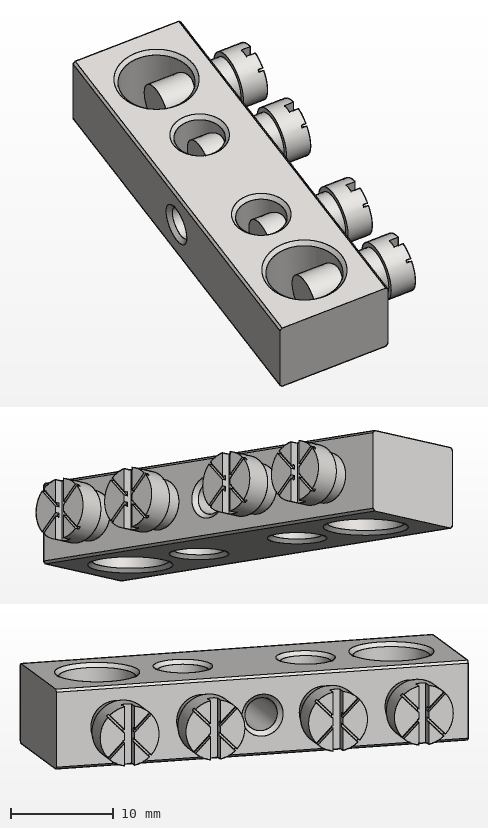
import cadquery as cq

BLOCK_LENGTH = 42.0
BLOCK_DEPTH = 12.0
BLOCK_HEIGHT = 8.0
EDGE_CHAMFER = 0.25

OUTER_BORE_X = 15.0
OUTER_BORE_DIAMETER = 7.5
INNER_BORE_X = 6.25
INNER_BORE_DIAMETER = 5.0
BORE_CHAMFER = 0.4

MOUNT_HOLE_DIAMETER = 3.3
MOUNT_HOLE_CHAMFER = 0.45

SHANK_DIAMETER = 5.0
SHANK_GAP = 2.0
SHANK_INSERTION = BLOCK_DEPTH / 2
SHANK_LENGTH = SHANK_INSERTION + SHANK_GAP
HEAD_DIAMETER = 6.0
HEAD_LENGTH = 2.7
SLOT_WIDTH = 1.0
SLOT_DEPTH = 1.0
MARK_WIDTH = 0.25
MARK_DEPTH = 0.5
MARK_ANGLES = (45, -45)

BACK_Y = BLOCK_DEPTH / 2
SCREW_TIP_Y = BACK_Y - SHANK_INSERTION
WIRE_BORES = (
    (-OUTER_BORE_X, OUTER_BORE_DIAMETER),
    (-INNER_BORE_X, INNER_BORE_DIAMETER),
    (INNER_BORE_X, INNER_BORE_DIAMETER),
    (OUTER_BORE_X, OUTER_BORE_DIAMETER),
)


def make_chamfered_bore(diameter, length, chamfer):
    """Cutter along Z, centred on the origin, with a countersink at both ends."""
    radius = diameter / 2
    mouth_radius = radius + chamfer
    half_length = length / 2
    profile = [
        (0, -half_length),
        (mouth_radius, -half_length),
        (radius, -half_length + chamfer),
        (radius, half_length - chamfer),
        (mouth_radius, half_length),
        (0, half_length),
    ]
    return cq.Workplane("XZ").polyline(profile).close().revolve(360, (0, 0), (0, 1))


def along_y(shape, x, y):
    """Turn a shape built along +Z to point along +Y and move it to (x, y, 0)."""
    return shape.rotate((0, 0, 0), (1, 0, 0), -90).translate((x, y, 0))


def make_block():
    block = cq.Workplane("XY").box(BLOCK_LENGTH, BLOCK_DEPTH, BLOCK_HEIGHT)
    block = block.edges("|X").chamfer(EDGE_CHAMFER)

    for x, diameter in WIRE_BORES:
        bore = make_chamfered_bore(diameter, BLOCK_HEIGHT, BORE_CHAMFER)
        block = block.cut(bore.translate((x, 0, 0)))

    mount_hole = make_chamfered_bore(MOUNT_HOLE_DIAMETER, BLOCK_DEPTH, MOUNT_HOLE_CHAMFER)
    block = block.cut(along_y(mount_hole, 0, 0))

    screw_hole = cq.Workplane("XY").circle(SHANK_DIAMETER / 2).extrude(SHANK_INSERTION)
    for x, _ in WIRE_BORES:
        block = block.cut(along_y(screw_hole, x, SCREW_TIP_Y))
    return block


def make_head_groove(width, depth):
    """Cutter for a straight groove right across the head face, parallel to Y."""
    head_top = SHANK_LENGTH + HEAD_LENGTH
    groove = cq.Workplane("XY").workplane(offset=head_top - depth)
    return groove.rect(width, 2 * HEAD_DIAMETER).extrude(depth)


def make_screw(x):
    """Slotted clamp screw with its tip at the centre of the wire bore at x."""
    screw = cq.Workplane("XY").circle(SHANK_DIAMETER / 2).extrude(SHANK_LENGTH)
    screw = screw.faces(">Z").workplane().circle(HEAD_DIAMETER / 2).extrude(HEAD_LENGTH)
    screw = screw.cut(make_head_groove(SLOT_WIDTH, SLOT_DEPTH))

    mark = make_head_groove(MARK_WIDTH, MARK_DEPTH)
    for angle in MARK_ANGLES:
        screw = screw.cut(mark.rotate((0, 0, 0), (0, 0, 1), angle))
    return along_y(screw, x, SCREW_TIP_Y)


block = make_block()
screws = [make_screw(x) for x, _ in WIRE_BORES]

result = cq.Compound.makeCompound([block.val(), *[screw.val() for screw in screws]])